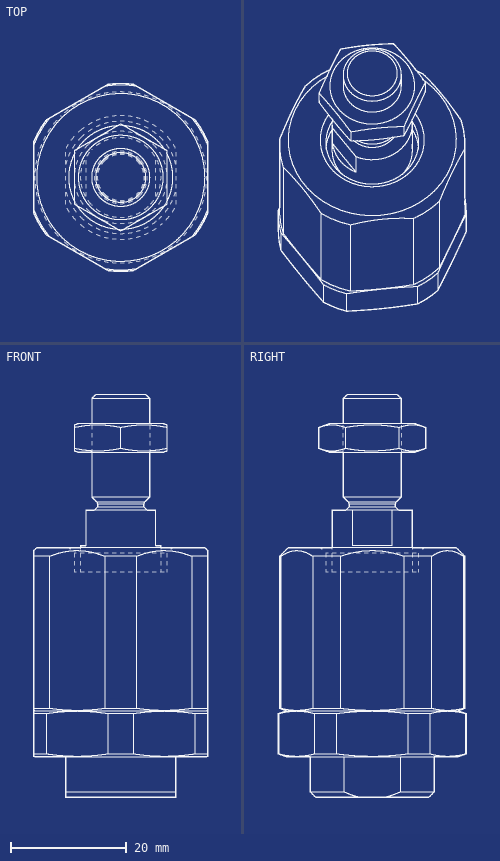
import cadquery as cq
import math

total_height = 69.5
collar_bottom = 7.0
housing_bottom = 14.95
housing_top = 43.1
flats_bottom = 43.45
shoulder_top = 49.55
thread_bottom = 51.8
nut_bottom = 59.5

housing_across_flats = 30.0
housing_corner_diameter = 32.0
collar_corner_diameter = 32.45
housing_top_face_diameter = 29.0
housing_top_chamfer = (housing_corner_diameter - housing_top_face_diameter) / 2
seam_diameter = 29.6
housing_bottom_chamfer = 0.4
collar_chamfer = 0.5

spigot_diameter = 21.4
spigot_across_flats = 19.05
spigot_chamfer = 1.0

recess_diameter = 16.0
recess_chamfer = 1.0
recess_depth = 4.2

shoulder_diameter = 13.8
shoulder_across_flats = 12.0
thread_diameter = 10.0
thread_tip_diameter = 8.6
thread_tip_chamfer = (thread_diameter - thread_tip_diameter) / 2
neck_diameter = 8.0
neck_bottom_height = 0.55
neck_top_height = 1.05
neck_relief_height = 1.4
neck_relief_diameter = 8.3
neck_foot_diameter = 9.1

nut_across_flats = 16.0
nut_height = 5.0
nut_face_diameter = 14.6
nut_chamfer = 0.7


def hexagon_corners(across_flats):
    return across_flats / math.cos(math.pi / 6)


def hexagonal_bar(across_flats, bottom, height):
    """Hexagonal prism with flats facing +X and -X."""
    profile = cq.Workplane("XY").workplane(offset=bottom).transformed(rotate=(0, 0, 30))
    return profile.polygon(6, hexagon_corners(across_flats)).extrude(height)


def turned(points):
    """Solid of revolution about Z from (radius, height) points, closed along the axis."""
    outline = [(0, points[0][1])] + points + [(0, points[-1][1])]
    return cq.Workplane("XZ").polyline(outline).close().revolve(360, (0, 0), (0, 1))


def turned_hexagon(across_flats, corner_diameter, bottom_cut, top_cut, bottom, top):
    """Hexagon with turned corners; each cut is the (face diameter, height) of an end chamfer."""
    bottom_diameter, bottom_height = bottom_cut
    top_diameter, top_height = top_cut
    envelope = turned([
        (bottom_diameter / 2, bottom),
        (corner_diameter / 2, bottom + bottom_height),
        (corner_diameter / 2, top - top_height),
        (top_diameter / 2, top),
    ])
    return hexagonal_bar(across_flats, bottom, top - bottom).intersect(envelope)


def flatted(body, across_flats, bottom, top):
    """Limit a body between two heights to a pair of flats facing +X and -X."""
    slab = cq.Workplane("XY").workplane(offset=bottom)
    slab = slab.rect(across_flats, 2 * collar_corner_diameter).extrude(top - bottom)
    return body.intersect(slab)


def make_housing():
    return turned_hexagon(
        housing_across_flats, housing_corner_diameter,
        (seam_diameter, housing_bottom_chamfer),
        (housing_top_face_diameter, housing_top_chamfer),
        housing_bottom, housing_top,
    )


def make_collar():
    end_cut = (seam_diameter, collar_chamfer)
    return turned_hexagon(
        housing_across_flats, collar_corner_diameter, end_cut, end_cut, collar_bottom, housing_bottom,
    )


def make_spigot():
    spigot = turned([
        (spigot_diameter / 2 - spigot_chamfer, 0),
        (spigot_diameter / 2, spigot_chamfer),
        (spigot_diameter / 2, collar_bottom),
    ])
    return flatted(spigot, spigot_across_flats, 0, collar_bottom)


def make_recess():
    return turned([
        (recess_diameter / 2, housing_top - recess_depth),
        (recess_diameter / 2, housing_top - recess_chamfer),
        (recess_diameter / 2 + recess_chamfer, housing_top),
    ])


def make_stud():
    base_bottom = housing_top - recess_depth
    base = cq.Workplane("XY").workplane(offset=base_bottom).circle(shoulder_diameter / 2)
    base = base.extrude(flats_bottom - base_bottom)
    shoulder = cq.Workplane("XY").workplane(offset=flats_bottom).circle(shoulder_diameter / 2)
    shoulder = shoulder.extrude(shoulder_top - flats_bottom)
    shoulder = flatted(shoulder, shoulder_across_flats, flats_bottom, shoulder_top)
    shank = turned([
        (neck_foot_diameter / 2, shoulder_top),
        (neck_diameter / 2, shoulder_top + neck_bottom_height),
        (neck_diameter / 2, shoulder_top + neck_top_height),
        (neck_relief_diameter / 2, shoulder_top + neck_relief_height),
        (thread_diameter / 2, thread_bottom),
        (thread_diameter / 2, total_height - thread_tip_chamfer),
        (thread_tip_diameter / 2, total_height),
    ])
    return base.union(shoulder).union(shank)


def make_coupling():
    """Housing, collar and spigot in one piece with the stud rising from the recess floor."""
    body = make_housing().union(make_collar()).union(make_spigot())
    return body.cut(make_recess()).union(make_stud())


def make_nut():
    end_cut = (nut_face_diameter, nut_chamfer)
    nut = turned_hexagon(
        nut_across_flats, hexagon_corners(nut_across_flats), end_cut, end_cut,
        nut_bottom, nut_bottom + nut_height,
    )
    bore = cq.Workplane("XY").workplane(offset=nut_bottom).circle(thread_diameter / 2).extrude(nut_height)
    return nut.cut(bore)


coupling = make_coupling()
nut = make_nut()

result = cq.Compound.makeCompound([coupling.val(), nut.val()])